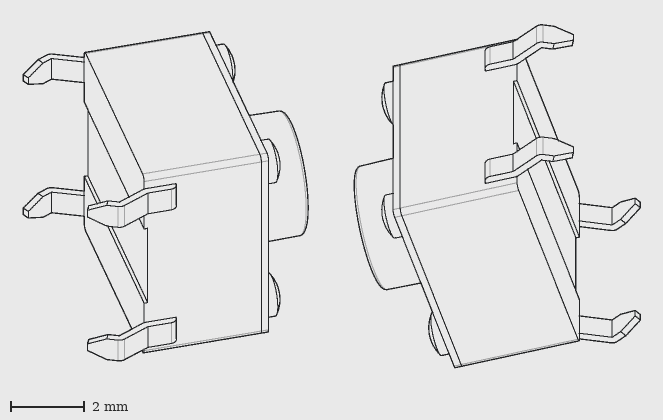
import cadquery as cq
import math


BODY_SIDE = 6.0
CORNER_RADIUS = 0.15
HOUSING_HEIGHT = 3.3
COVER_THICKNESS = 0.2
CHANNEL_WIDTH = 2.5
CHANNEL_DEPTH = 0.1

BUTTON_BASE_RADIUS = 1.74
BUTTON_TOP_RADIUS = 1.71
BUTTON_HEIGHT = 1.5
BUTTON_EDGE_RADIUS = 0.08

CORNER_PITCH = 4.5
STUD_RADIUS = 0.6
STUD_WALL_HEIGHT = 0.3
STUD_HEIGHT = 0.5

LEG_SPAN = 7.2
LEG_WIDTH = 0.7
LEG_THICKNESS = 0.21
LEG_RISE = 0.89
LEG_TOP_RADIUS = 0.19
LEG_DROP = 1.655
BEND_DROP = 0.81
TIP_TAPER_LENGTH = 0.53
TIP_WIDTH = 0.22

HALF_SIDE = BODY_SIDE / 2
COVER_TOP = HOUSING_HEIGHT + COVER_THICKNESS
BEND_X = LEG_SPAN / 2 - LEG_THICKNESS
SPLAY = math.atan((BEND_X - HALF_SIDE) / BEND_DROP)
RETURN_LENGTH = (LEG_DROP - BEND_DROP - LEG_THICKNESS * math.sin(SPLAY)) / math.cos(SPLAY)


def rounded_block(bottom, height):
    """Square block with rounded edges along Y, standing on Y = bottom."""
    return (
        cq.Workplane("XZ", origin=(0, bottom, 0))
        .rect(BODY_SIDE, BODY_SIDE)
        .extrude(-height)
        .edges("|Y")
        .fillet(CORNER_RADIUS)
    )


def make_housing():
    channel = cq.Workplane("XY").box(
        BODY_SIDE, CHANNEL_DEPTH, CHANNEL_WIDTH, centered=(True, False, True)
    )
    return rounded_block(0, HOUSING_HEIGHT).cut(channel)


def make_button():
    """Slightly tapered round button, standing on the cover."""
    return (
        cq.Workplane("XY")
        .moveTo(0, COVER_TOP)
        .lineTo(BUTTON_BASE_RADIUS, COVER_TOP)
        .lineTo(BUTTON_TOP_RADIUS, COVER_TOP + BUTTON_HEIGHT)
        .lineTo(0, COVER_TOP + BUTTON_HEIGHT)
        .close()
        .revolve(360, (0, 0, 0), (0, 1, 0))
        .faces(">Y")
        .edges()
        .fillet(BUTTON_EDGE_RADIUS)
    )


def make_stud(x, z):
    """Short cylinder with a spherical cap, standing on the cover at (x, z)."""
    dome_rise = STUD_HEIGHT - STUD_WALL_HEIGHT
    dome_radius = (STUD_RADIUS**2 + dome_rise**2) / (2 * dome_rise)
    half_angle = math.asin(STUD_RADIUS / dome_radius) / 2
    arc_drop = dome_radius * (1 - math.cos(half_angle))
    arc_middle = (dome_radius * math.sin(half_angle), STUD_HEIGHT - arc_drop)
    return (
        cq.Workplane("XY", origin=(x, COVER_TOP, z))
        .lineTo(STUD_RADIUS, 0)
        .lineTo(STUD_RADIUS, STUD_WALL_HEIGHT)
        .threePointArc(arc_middle, (0, STUD_HEIGHT))
        .close()
        .revolve(360, (0, 0, 0), (0, 1, 0))
    )


def make_cover():
    """Cover plate in one piece with the button and the four studs."""
    cover = rounded_block(HOUSING_HEIGHT, COVER_THICKNESS).union(make_button())
    for x in (-CORNER_PITCH / 2, CORNER_PITCH / 2):
        for z in (-CORNER_PITCH / 2, CORNER_PITCH / 2):
            cover = cover.union(make_stud(x, z))
    return cover


def leg_blank():
    """Leg on the +X side at Z = 0: constant-thickness strip, before its tip is tapered."""
    sin_s = math.sin(SPLAY)
    cos_s = math.cos(SPLAY)
    bend = (BEND_X, -BEND_DROP)
    outer_x = HALF_SIDE + LEG_THICKNESS
    tip_inner = (BEND_X - RETURN_LENGTH * sin_s, -BEND_DROP - RETURN_LENGTH * cos_s)
    tip_outer = (tip_inner[0] + LEG_THICKNESS * cos_s, tip_inner[1] - LEG_THICKNESS * sin_s)
    arc_start = (bend[0] + LEG_THICKNESS * cos_s, bend[1] - LEG_THICKNESS * sin_s)
    arc_middle = (bend[0] + LEG_THICKNESS, bend[1])
    arc_end = (arc_start[0], bend[1] + LEG_THICKNESS * sin_s)
    outer_elbow = (outer_x, LEG_THICKNESS * math.tan(SPLAY / 2))
    return (
        cq.Workplane("XY")
        .moveTo(HALF_SIDE, LEG_RISE)
        .lineTo(HALF_SIDE, 0)
        .lineTo(*bend)
        .lineTo(*tip_inner)
        .lineTo(*tip_outer)
        .lineTo(*arc_start)
        .threePointArc(arc_middle, arc_end)
        .lineTo(*outer_elbow)
        .lineTo(outer_x, LEG_RISE - LEG_TOP_RADIUS)
        .radiusArc((outer_x - LEG_TOP_RADIUS, LEG_RISE), -LEG_TOP_RADIUS)
        .close()
        .extrude(LEG_WIDTH / 2, both=True)
    )


def tip_corners():
    """Wedges that narrow the leg towards its tip, cut square to the returning run."""
    along_run = (-math.sin(SPLAY), -math.cos(SPLAY), 0)
    outward = (math.cos(SPLAY), -math.sin(SPLAY), 0)
    run_plane = cq.Plane(origin=(BEND_X, -BEND_DROP, 0), xDir=along_run, normal=outward)
    taper_start = RETURN_LENGTH - TIP_TAPER_LENGTH
    wedge = (
        cq.Workplane(run_plane)
        .moveTo(taper_start, LEG_WIDTH / 2)
        .lineTo(RETURN_LENGTH, TIP_WIDTH / 2)
        .lineTo(RETURN_LENGTH, LEG_WIDTH / 2)
        .close()
        .extrude(LEG_THICKNESS)
    )
    return wedge.union(wedge.mirror("XY"))


def make_legs():
    """Two solid legs on each of the -X and +X sides."""
    right_leg = leg_blank().cut(tip_corners())
    left_leg = right_leg.mirror("YZ")
    legs = []
    for leg in (left_leg, right_leg):
        for z in (-CORNER_PITCH / 2, CORNER_PITCH / 2):
            legs.append(leg.translate((0, 0, z)).solids().val())
    return legs


housing = make_housing()
cover = make_cover()
legs = make_legs()

result = cq.Compound.makeCompound([housing.solids().val(), cover.solids().val(), *legs])